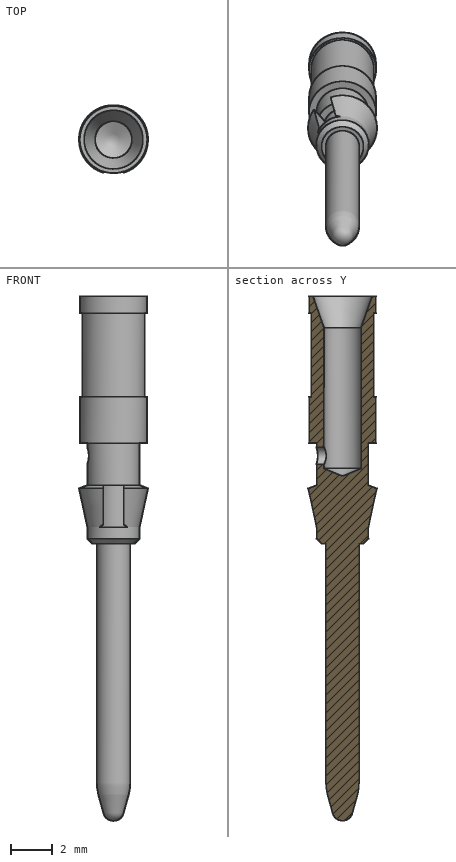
import cadquery as cq
import math

total_length = 25.0

pin_radius = 0.8
tip_radius = 0.5
tip_taper_angle = math.radians(15.5)
taper_blend_radius = 2.0

ring_bottom = 13.2
ring_top = 14.0
ring_chamfer = 0.25

neck_radius = 1.25
groove_radius = 0.9
groove_top = 16.0

clip_top_radius = 1.65
clip_edge_drop = 0.15
clip_gap_width = 1.0
gap_flare_width = 0.15
gap_flare_height = 0.12

collar_bottom = 18.0
collar_top = 20.2
collar_radius = 1.6
barrel_radius = 1.5
rim_height = 0.8
rim_radius = collar_radius

mouth_radius = 1.4
bore_radius = 0.875
mouth_depth = 1.5
bore_depth = 8.2
drill_point_angle = math.radians(135)
inspection_diameter = 0.8
inspection_height = 17.4


def make_body():
    """Turned body: spherical tip, tapered pin, ring, groove, neck and barrel."""
    sine = math.sin(tip_taper_angle)
    cosine = math.cos(tip_taper_angle)
    half_sine = math.sin(tip_taper_angle / 2)
    half_cosine = math.cos(tip_taper_angle / 2)

    taper_bottom_radius = tip_radius * cosine
    taper_bottom = tip_radius * (1 - sine)
    taper_top_radius = pin_radius - taper_blend_radius * (1 - cosine)
    taper_top = taper_bottom + (taper_top_radius - taper_bottom_radius) / math.tan(tip_taper_angle)
    blend_top = taper_top + taper_blend_radius * sine
    blend_middle = (
        pin_radius - taper_blend_radius * (1 - half_cosine),
        blend_top - taper_blend_radius * half_sine,
    )
    tip_middle_angle = (math.pi / 2 - tip_taper_angle) / 2
    tip_middle = (
        tip_radius * math.sin(tip_middle_angle),
        tip_radius * (1 - math.cos(tip_middle_angle)),
    )
    rim_bottom = total_length - rim_height

    profile = (
        cq.Workplane("XZ")
        .moveTo(0, 0)
        .threePointArc(tip_middle, (taper_bottom_radius, taper_bottom))
        .lineTo(taper_top_radius, taper_top)
        .threePointArc(blend_middle, (pin_radius, blend_top))
        .lineTo(pin_radius, ring_bottom)
        .lineTo(neck_radius - ring_chamfer, ring_bottom)
        .lineTo(neck_radius, ring_bottom + ring_chamfer)
        .lineTo(neck_radius, ring_top)
        .lineTo(groove_radius, ring_top)
        .lineTo(groove_radius, groove_top)
        .lineTo(neck_radius, groove_top)
        .lineTo(neck_radius, collar_bottom)
        .lineTo(collar_radius, collar_bottom)
        .lineTo(collar_radius, collar_top)
        .lineTo(barrel_radius, collar_top)
        .lineTo(barrel_radius, rim_bottom)
        .lineTo(rim_radius, rim_bottom)
        .lineTo(rim_radius, total_length)
        .lineTo(0, total_length)
        .close()
    )
    return profile.revolve(360, (0, 0), (0, 1))


def make_clip():
    """Flared clip filling the groove all round except for a parallel-sided gap facing -Y."""
    clip = (
        cq.Workplane("XZ")
        .moveTo(groove_radius, ring_top)
        .lineTo(neck_radius, ring_top)
        .lineTo(clip_top_radius, groove_top - clip_edge_drop)
        .lineTo(neck_radius, groove_top)
        .lineTo(groove_radius, groove_top)
        .close()
        .revolve(360, (0, 0), (0, 1))
    )
    half_width = clip_gap_width / 2
    flared_half_width = half_width + gap_flare_width
    flare_top = ring_top + gap_flare_height
    gap = (
        cq.Workplane("XZ")
        .moveTo(-flared_half_width, ring_top)
        .lineTo(flared_half_width, ring_top)
        .lineTo(half_width, flare_top)
        .lineTo(half_width, groove_top)
        .lineTo(-half_width, groove_top)
        .lineTo(-half_width, flare_top)
        .close()
        .extrude(clip_top_radius)
    )
    return clip.cut(gap)


def make_wire_bore():
    """Tapered mouth, straight bore and drill point."""
    bore_bottom = total_length - bore_depth
    point_depth = bore_radius / math.tan(drill_point_angle / 2)
    profile = (
        cq.Workplane("XZ")
        .moveTo(0, total_length)
        .lineTo(mouth_radius, total_length)
        .lineTo(bore_radius, total_length - mouth_depth)
        .lineTo(bore_radius, bore_bottom)
        .lineTo(0, bore_bottom - point_depth)
        .close()
    )
    return profile.revolve(360, (0, 0), (0, 1))


def make_inspection_hole():
    """Radial hole from the -X side of the neck to the bore axis."""
    return (
        cq.Workplane("YZ")
        .center(0, inspection_height)
        .circle(inspection_diameter / 2)
        .extrude(-collar_radius)
    )


body = make_body().union(make_clip())
result = body.cut(make_wire_bore()).cut(make_inspection_hole())